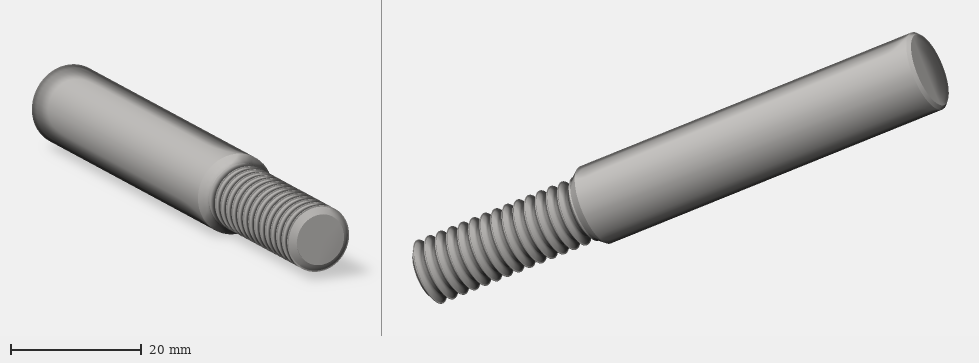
import cadquery as cq

total_length = 88.9
shank_diameter = 12.7
shank_length = 58.9
end_chamfer = 0.5

ring_pitch = 2.0
ring_count = 14
crest_diameter = 10.5
crest_width = 0.1
shoulder_diameter = 10.05
root_diameter = 8.0
root_flat = 0.45
end_root_flat = 0.1

taper_length = 1.4
neck_land = 0.3
neck_drop_length = 0.8

shank_radius = shank_diameter / 2
crest_radius = crest_diameter / 2
shoulder_radius = shoulder_diameter / 2
root_radius = root_diameter / 2
ring_half_width = (ring_pitch - root_flat) / 2
crest_half_width = crest_width / 2

start_x = -total_length / 2
end_x = total_length / 2
shank_end_x = start_x + shank_length
taper_end_x = shank_end_x + taper_length
land_end_x = taper_end_x + neck_land
last_crest_x = end_x - end_root_flat - ring_half_width
first_crest_x = last_crest_x - (ring_count - 1) * ring_pitch


def ring_profile(crest_x):
    """(x, radius) points of a ring whose sloped flanks carry a thin, straight-sided crest."""
    return [
        (crest_x - ring_half_width, root_radius),
        (crest_x - crest_half_width, shoulder_radius),
        (crest_x - crest_half_width, crest_radius),
        (crest_x + crest_half_width, crest_radius),
        (crest_x + crest_half_width, shoulder_radius),
        (crest_x + ring_half_width, root_radius),
    ]


profile = [
    (start_x, 0),
    (start_x, shank_radius - end_chamfer),
    (start_x + end_chamfer, shank_radius),
    (shank_end_x, shank_radius),
]

profile += [
    (taper_end_x, crest_radius),
    (land_end_x, crest_radius),
    (land_end_x + neck_drop_length, root_radius),
]

for ring in range(ring_count):
    profile += ring_profile(first_crest_x + ring * ring_pitch)
profile += [
    (end_x, root_radius),
    (end_x, 0),
]

axis_start = (0, 0, 0)
axis_end = (1, 0, 0)
result = cq.Workplane("XZ").polyline(profile).close().revolve(360, axis_start, axis_end)